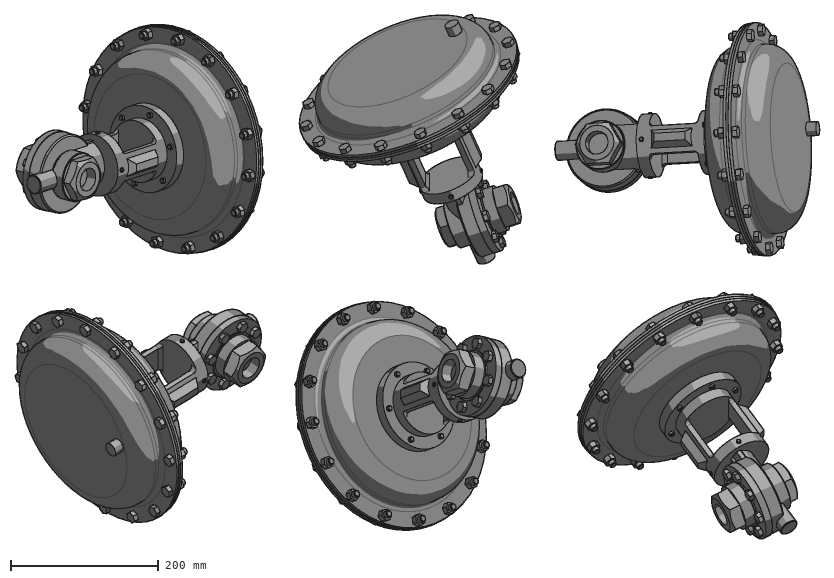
import cadquery as cq
import math


RIM_RADIUS = 158.7
FRONT_RIM_RADIUS = 157.7
BACK_RIM_THICKNESS = 4.0
GASKET_RADIUS = 158.0
GASKET_THICKNESS = 3.5
FRONT_RIM_THICKNESS = 4.0
DOME_RADIUS = 128.8
DOME_ROUND = 27.5
RIM_BLEND = 6.5
BACK_DOME_END = 43.3
FRONT_DOME_END = -47.8
FRONT_RIM_FACE = -(GASKET_THICKNESS + FRONT_RIM_THICKNESS)

RIM_BOLT_COUNT = 16
RIM_BOLT_CIRCLE = 148.5
RIM_BOLT_START = 15
RIM_HEX_RADIUS = 8.2
RIM_HEAD_TURN = 10
RIM_NUT_TURN = -7.5
RIM_HEAD_HEIGHT = 7.0
RIM_NUT_HEIGHT = 8.2
STUD_RADIUS = 4.8
STUD_LENGTH = 14.8
SCREW_CHAMFER = 1.0

AIR_TUBE_RADIUS = 9.5
AIR_TUBE_END = 57.7
AIR_TUBE_X = -84.5
AIR_TUBE_Z = 28.5

FLANGE_RADIUS = 60.8
FLANGE_FACE = -62.0
FLANGE_SCREW_COUNT = 6
FLANGE_SCREW_CIRCLE = 52.5
FLANGE_SCREW_START = 15
FLANGE_SCREW_RADIUS = 3.8
FLANGE_SCREW_HEIGHT = 4.0

YOKE_RADIUS = 43.3
YOKE_END = -162.0
WINDOW_BACK = -77.0
WINDOW_FRONT = -145.5
WINDOW_HALF_WIDTH = 31.3
WINDOW_TAPER_WIDTH = 3.0
WINDOW_TAPER_LENGTH = 7.0
PILLAR_HALF_HEIGHT = 19.2
PILLAR_FILLET = 5.0
SET_SCREW_Y = -154.5
SET_SCREW_RADIUS = 3.0
SET_SCREW_REACH = 45.5

PAD_BASE_X = 41.0
PAD_TOP_X = 52.5
PAD_BASE_LENGTH = 58.5
PAD_BASE_HEIGHT = 25.8
PAD_TOP_LENGTH = 44.0
PAD_TOP_HEIGHT = 11.5
PAD_CENTRE_Y = -112.7

VALVE_Y = -219.0
COVER_RADIUS = 55.3
COVER_LEFT = -29.5
COVER_RIGHT = -19.2
BODY_RADIUS = 54.5
BODY_RIGHT = 0.7
BODY_CHAMFER = 2.0
COLLAR_RADIUS = 35.0
COLLAR_LEFT = -31.5
LEFT_HUB_RADIUS = 32.0
LEFT_HEX_START = -47.5
LEFT_END = -67.7
RIGHT_NECK_RADIUS = 32.3
RIGHT_NECK_END = 3.5
RIGHT_HUB_RADIUS = 34.0
RIGHT_HEX_START = 23.5
RIGHT_END = 39.0
HUB_CHAMFER = 1.0
HEX_ACROSS_FLATS = 55.3
HEX_FACE_RADIUS = 24.0
HEX_CONE_LENGTH = 4.8
PORT_RADIUS = 15.8
PORT_DEPTH = 15.8

COVER_BOLT_COUNT = 8
COVER_BOLT_CIRCLE = 44.3
COVER_BOLT_HEX_RADIUS = 8.0
COVER_BOLT_HEIGHT = 6.2

NECK_RADIUS = 35.0
NECK_CENTRE_X = -16.0
NECK_SHOULDER_X = -1.5
NECK_SHOULDER = [(-17.2, 23.7), (-13.5, 26.5), (-8.2, 34.0), (NECK_SHOULDER_X, 34.0)]
STUB_RADIUS = 13.0
STUB_END = -285.8
STUB_CHAMFER = 1.0


def rod_y(radius, y_start, y_end, x=0, z=0):
    """Cylinder along -Y from y_start to y_end."""
    return cq.Workplane("XZ", origin=(x, y_start, z)).circle(radius).extrude(y_start - y_end)


def rod_x(radius, x_start, x_end):
    """Cylinder on the flow axis from x_start to x_end."""
    return cq.Workplane("YZ", origin=(x_start, VALVE_Y, 0)).circle(radius).extrude(x_end - x_start)


def around_y(shape, count, start):
    """Union of copies of shape spread evenly about the Y axis."""
    pattern = cq.Workplane("XY")
    for i in range(count):
        pattern = pattern.add(shape.rotate((0, 0, 0), (0, -1, 0), start + i * 360 / count))
    return pattern.combine()


def dome(rim_face, end):
    """Half case from the middle plane out to its flat end, blended into its rim face."""
    side = math.copysign(1, end)
    corner = math.sqrt(0.5)
    blend_mid = RIM_BLEND * (1 - corner)
    round_mid = DOME_ROUND * (1 - corner)
    return (
        cq.Workplane("XY")
        .lineTo(DOME_RADIUS + RIM_BLEND, 0)
        .lineTo(DOME_RADIUS + RIM_BLEND, rim_face)
        .threePointArc(
            (DOME_RADIUS + blend_mid, rim_face + side * blend_mid),
            (DOME_RADIUS, rim_face + side * RIM_BLEND),
        )
        .lineTo(DOME_RADIUS, end - side * DOME_ROUND)
        .threePointArc(
            (DOME_RADIUS - round_mid, end - side * round_mid),
            (DOME_RADIUS - DOME_ROUND, end),
        )
        .lineTo(0, end)
        .close()
        .revolve(360, (0, 0), (0, 1))
    )


def hexagon_y(radius, y_start, y_end, x, turn):
    """Hexagonal prism along -Y with one corner turned from +X by the given angle."""
    plane = cq.Workplane("XZ", origin=(x, y_start, 0)).transformed(rotate=(0, 0, turn))
    return plane.polygon(6, 2 * radius).extrude(y_start - y_end)


def rim_bolt():
    head = hexagon_y(
        RIM_HEX_RADIUS, BACK_RIM_THICKNESS + RIM_HEAD_HEIGHT, 0, RIM_BOLT_CIRCLE, RIM_HEAD_TURN
    )
    nut = hexagon_y(
        RIM_HEX_RADIUS, 0, FRONT_RIM_FACE - RIM_NUT_HEIGHT, RIM_BOLT_CIRCLE, RIM_NUT_TURN
    )
    stud = rod_y(STUD_RADIUS, 0, FRONT_RIM_FACE - STUD_LENGTH, RIM_BOLT_CIRCLE)
    return head.union(nut).union(stud.faces("<Y").chamfer(SCREW_CHAMFER))


def diaphragm_case():
    case = rod_y(RIM_RADIUS, BACK_RIM_THICKNESS, 0)
    case = case.union(rod_y(GASKET_RADIUS, 0, -GASKET_THICKNESS))
    case = case.union(rod_y(FRONT_RIM_RADIUS, -GASKET_THICKNESS, FRONT_RIM_FACE))
    case = case.union(dome(BACK_RIM_THICKNESS, BACK_DOME_END))
    case = case.union(dome(FRONT_RIM_FACE, FRONT_DOME_END))
    case = case.union(around_y(rim_bolt(), RIM_BOLT_COUNT, RIM_BOLT_START))
    air_tube = rod_y(AIR_TUBE_RADIUS, AIR_TUBE_END, 0, AIR_TUBE_X, AIR_TUBE_Z)
    return case.union(air_tube)


def mounting_flange():
    flange = rod_y(FLANGE_RADIUS, FRONT_DOME_END, FLANGE_FACE)
    screw = rod_y(
        FLANGE_SCREW_RADIUS, FRONT_DOME_END, FLANGE_FACE - FLANGE_SCREW_HEIGHT, FLANGE_SCREW_CIRCLE
    )
    screw = screw.faces("<Y").chamfer(SCREW_CHAMFER)
    return flange.union(around_y(screw, FLANGE_SCREW_COUNT, FLANGE_SCREW_START))


def pillar_pad():
    return (
        cq.Workplane("YZ", origin=(PAD_BASE_X, PAD_CENTRE_Y, 0))
        .rect(PAD_BASE_LENGTH, PAD_BASE_HEIGHT)
        .workplane(offset=PAD_TOP_X - PAD_BASE_X)
        .rect(PAD_TOP_LENGTH, PAD_TOP_HEIGHT)
        .loft()
        .union(
            cq.Workplane("YZ", origin=(WINDOW_HALF_WIDTH, PAD_CENTRE_Y, 0))
            .rect(PAD_BASE_LENGTH, PAD_BASE_HEIGHT)
            .extrude(PAD_BASE_X - WINDOW_HALF_WIDTH)
        )
    )


def yoke():
    body = rod_y(YOKE_RADIUS, FLANGE_FACE, YOKE_END)
    narrow = WINDOW_HALF_WIDTH - WINDOW_TAPER_WIDTH
    taper_start = WINDOW_FRONT + WINDOW_TAPER_LENGTH
    window = (
        cq.Workplane("XY")
        .polyline([
            (-WINDOW_HALF_WIDTH, WINDOW_BACK),
            (WINDOW_HALF_WIDTH, WINDOW_BACK),
            (WINDOW_HALF_WIDTH, taper_start),
            (narrow, WINDOW_FRONT),
            (-narrow, WINDOW_FRONT),
            (-WINDOW_HALF_WIDTH, taper_start),
        ])
        .close()
        .extrude(YOKE_RADIUS, both=True)
    )
    body = body.cut(window)
    side_height = 2 * YOKE_RADIUS
    for side in (1, -1):
        side_cut = (
            cq.Workplane("XY")
            .box(3 * YOKE_RADIUS, WINDOW_BACK - WINDOW_FRONT, side_height)
            .edges("|X")
            .fillet(PILLAR_FILLET)
            .translate((
                0,
                (WINDOW_BACK + WINDOW_FRONT) / 2,
                side * (PILLAR_HALF_HEIGHT + side_height / 2),
            ))
        )
        body = body.cut(side_cut)
    body = body.union(around_y(pillar_pad(), 2, 0))
    set_screw = (
        cq.Workplane("YZ", origin=(YOKE_RADIUS / 2, SET_SCREW_Y, 0))
        .circle(SET_SCREW_RADIUS)
        .extrude(SET_SCREW_REACH - YOKE_RADIUS / 2)
        .faces(">X")
        .chamfer(SCREW_CHAMFER)
    )
    return body.union(around_y(set_screw, 4, 0))


def hex_end(x_start, x_end):
    """Hexagonal pipe end whose outer corners are coned off."""
    out = math.copysign(1, x_end - x_start)
    corner_radius = HEX_ACROSS_FLATS / math.sqrt(3)
    prism = (
        cq.Workplane("YZ", origin=(x_start, VALVE_Y, 0))
        .polygon(6, 2 * corner_radius)
        .extrude(x_end - x_start)
    )
    envelope = (
        cq.Workplane("XY", origin=(0, VALVE_Y, 0))
        .polyline([
            (x_start, 0),
            (x_start, corner_radius),
            (x_end - out * HEX_CONE_LENGTH, corner_radius),
            (x_end, HEX_FACE_RADIUS),
            (x_end, 0),
        ])
        .close()
        .revolve(360, (0, 0), (1, 0))
    )
    return prism.intersect(envelope)


def cover_bolts():
    """Hexagon heads on the cover, starting half a pitch from +Y, each turned half a pitch."""
    half_pitch = 180 / COVER_BOLT_COUNT
    bolts = cq.Workplane("XY")
    for i in range(COVER_BOLT_COUNT):
        bolt = (
            cq.Workplane("YZ", origin=(COVER_LEFT, VALVE_Y, 0))
            .transformed(rotate=(0, 0, (2 * i + 1) * half_pitch))
            .center(COVER_BOLT_CIRCLE, 0)
            .transformed(rotate=(0, 0, half_pitch))
            .polygon(6, 2 * COVER_BOLT_HEX_RADIUS)
            .extrude(-COVER_BOLT_HEIGHT)
        )
        bolts = bolts.add(bolt)
    return bolts.combine()


def neck():
    """Round neck on the +X side and a faceted shoulder on the -X side."""
    round_part = rod_y(NECK_RADIUS, YOKE_END, VALVE_Y, NECK_CENTRE_X)
    neck_length = YOKE_END - VALVE_Y
    positive_x_side = (
        cq.Workplane("XZ", origin=(NECK_SHOULDER_X, YOKE_END, 0))
        .center(NECK_RADIUS / 2, 0)
        .rect(NECK_RADIUS, 2 * NECK_RADIUS)
        .extrude(neck_length)
    )
    round_part = round_part.intersect(positive_x_side)
    mirrored = [(x, -z) for x, z in reversed(NECK_SHOULDER)]
    faceted = (
        cq.Workplane("XZ", origin=(0, YOKE_END, 0))
        .polyline(NECK_SHOULDER + mirrored)
        .close()
        .extrude(neck_length)
    )
    return round_part.union(faceted)


def valve():
    body = rod_x(BODY_RADIUS, COVER_RIGHT, BODY_RIGHT).faces(">X").chamfer(BODY_CHAMFER)
    body = body.union(rod_x(COVER_RADIUS, COVER_LEFT, COVER_RIGHT))
    body = body.union(rod_x(COLLAR_RADIUS, COLLAR_LEFT, COVER_LEFT))
    body = body.union(rod_x(LEFT_HUB_RADIUS, LEFT_HEX_START, COLLAR_LEFT))
    body = body.union(rod_x(RIGHT_NECK_RADIUS, BODY_RIGHT, RIGHT_NECK_END))
    right_hub = rod_x(RIGHT_HUB_RADIUS, RIGHT_NECK_END, RIGHT_HEX_START)
    body = body.union(right_hub.faces(">X").chamfer(HUB_CHAMFER))
    body = body.union(cover_bolts()).union(neck())
    body = body.union(rod_y(STUB_RADIUS, VALVE_Y, STUB_END).faces("<Y").chamfer(STUB_CHAMFER))
    body = body.union(hex_end(LEFT_HEX_START, LEFT_END))
    body = body.union(hex_end(RIGHT_HEX_START, RIGHT_END))
    body = body.cut(rod_x(PORT_RADIUS, LEFT_END, LEFT_END + PORT_DEPTH))
    return body.cut(rod_x(PORT_RADIUS, RIGHT_END, RIGHT_END - PORT_DEPTH))


result = diaphragm_case().union(mounting_flange()).union(yoke()).union(valve())